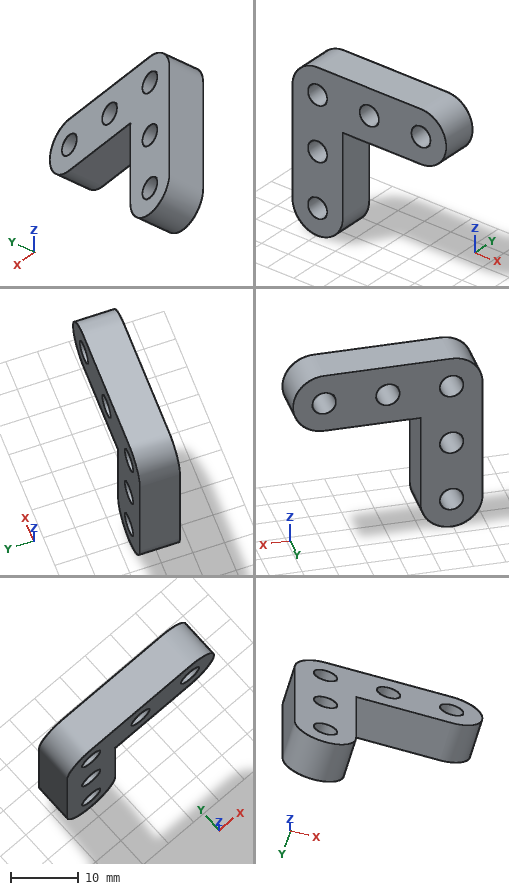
import cadquery as cq

length = 29.1
arm_width = 9.55
thickness = 6.35
hole_diameter = 3.6
holes_per_arm = 3

arm_span = length - arm_width
hole_pitch = arm_span / (holes_per_arm - 1)


def arm(direction_x, direction_z):
    """Round-ended bar running from the corner hole at the origin along one axis."""
    angle = 0 if direction_x else 90
    return (
        cq.Workplane("XZ")
        .center(direction_x * arm_span / 2, direction_z * arm_span / 2)
        .slot2D(length, arm_width, angle)
        .extrude(thickness)
    )


def hole_centres():
    """Corner hole, then evenly spaced holes along both arms."""
    centres = [(0, 0)]
    for step in range(1, holes_per_arm):
        centres.append((step * hole_pitch, 0))
        centres.append((0, -step * hole_pitch))
    return centres


bracket = arm(1, 0).union(arm(0, -1))
holes = (
    cq.Workplane("XZ")
    .pushPoints(hole_centres())
    .circle(hole_diameter / 2)
    .extrude(thickness)
)
result = bracket.cut(holes).clean()